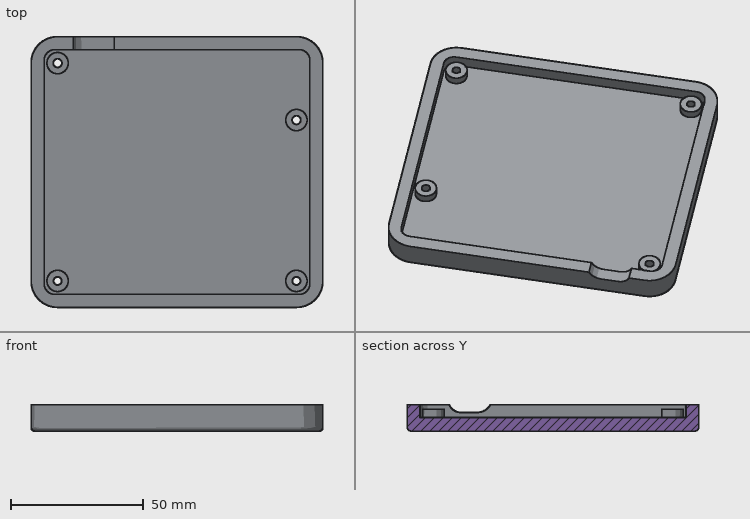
import cadquery as cq
import math

length = 110.0
width = 102.1
height = 10.0
corner_radius = 10.0
wall = 5.0
inner_corner_radius = 4.0
cavity_depth = 4.7
bottom_fillet = 1.5

boss_diameter = 8.0
boss_height = 3.1
front_hole_diameter = 3.0
back_hole_diameter = 3.2
right_boss_spacing = 60.6

dip_depth = 2.9
dip_left = 16.0
dip_right = 31.4
dip_floor_left = 20.2
dip_floor_right = 26.5

floor_height = height - cavity_depth
boss_x = length / 2 - corner_radius
boss_y = width / 2 - corner_radius
bosses = [
    (-boss_x, -boss_y, front_hole_diameter),
    (boss_x, -boss_y, front_hole_diameter),
    (-boss_x, boss_y, back_hole_diameter),
    (boss_x, right_boss_spacing - boss_y, back_hole_diameter),
]


def rounded_block(size_x, size_y, size_z, radius, base_z):
    """Upright block with rounded vertical edges, standing on base_z."""
    block = cq.Workplane("XY").box(size_x, size_y, size_z, centered=(True, True, False))
    return block.edges("|Z").fillet(radius).translate((0, 0, base_z))


def cylinder(x, y, diameter, base_z, size_z):
    """Vertical cylinder standing on base_z."""
    return cq.Workplane("XY", origin=(x, y, base_z)).circle(diameter / 2).extrude(size_z)


def ramp_midpoint(rim_x, floor_x):
    """Middle of a concave arc that leaves the dip floor tangentially and rises to the rim."""
    run = rim_x - floor_x
    radius = (run**2 + dip_depth**2) / (2 * dip_depth)
    half_angle = math.atan2(dip_depth, abs(run))
    mid_x = floor_x + math.copysign(radius * math.sin(half_angle), run)
    mid_z = height - dip_depth + radius * (1 - math.cos(half_angle))
    return mid_x, mid_z


def rim_dip():
    """Cutter for the dip, with a flat floor between two curved ramps."""
    left_x, floor_left_x, floor_right_x, right_x = [
        distance - length / 2 for distance in (dip_left, dip_floor_left, dip_floor_right, dip_right)
    ]
    dip_z = height - dip_depth
    return (
        cq.Workplane("XZ", origin=(0, width / 2, 0))
        .moveTo(left_x, height)
        .threePointArc(ramp_midpoint(left_x, floor_left_x), (floor_left_x, dip_z))
        .lineTo(floor_right_x, dip_z)
        .threePointArc(ramp_midpoint(right_x, floor_right_x), (right_x, height))
        .close()
        .extrude(wall)
    )


body = rounded_block(length, width, height, corner_radius, 0).faces("<Z").edges().fillet(bottom_fillet)
cavity = rounded_block(
    length - 2 * wall, width - 2 * wall, cavity_depth, inner_corner_radius, floor_height
)
result = body.cut(cavity).cut(rim_dip())

for x, y, hole_diameter in bosses:
    result = result.union(cylinder(x, y, boss_diameter, floor_height, boss_height))
    result = result.cut(cylinder(x, y, hole_diameter, 0, floor_height + boss_height))